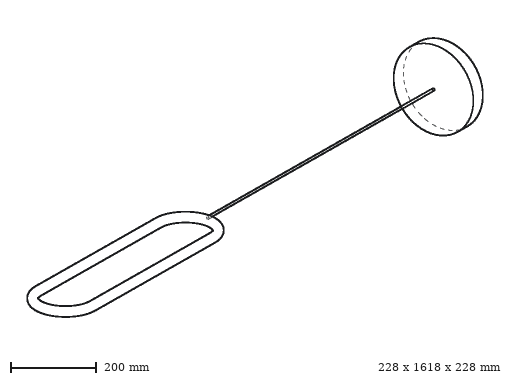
import cadquery as cq

total_length = 1618.0
plate_diameter = 228.0
plate_thickness = 39.0
cable_diameter = 6.0

tube_diameter = 26.0
ring_width = 180.0
upper_straight = 194.0
lower_straight = 291.0

bend_radius = (ring_width - tube_diameter) / 2
upper_bend_y = lower_straight + upper_straight
ring_top_y = upper_bend_y + bend_radius
ring_bottom_y = -ring_width / 2
plate_back_y = ring_bottom_y + total_length
plate_front_y = plate_back_y - plate_thickness


def rod(diameter, x, start_y, end_y):
    """Round bar parallel to Y."""
    return cq.Workplane(cq.Solid.makeCylinder(
        diameter / 2, end_y - start_y, cq.Vector(x, start_y, 0), cq.Vector(0, 1, 0)
    ))


def bend(center_y, side):
    """Half-circle tube bend bulging toward +Y (side = 1) or -Y (side = -1)."""
    path = (
        cq.Workplane("XY")
        .moveTo(-bend_radius, center_y)
        .threePointArc((0, center_y + side * bend_radius), (bend_radius, center_y))
    )
    profile = cq.Workplane("XZ", origin=(-bend_radius, center_y, 0)).circle(tube_diameter / 2)
    return profile.sweep(path)


result = rod(plate_diameter, 0, plate_front_y, plate_back_y)
cable = rod(cable_diameter, 0, ring_top_y, plate_front_y)

result = result.union(cable, clean=False)
result = result.union(bend(upper_bend_y, 1), clean=False)
for x in (-bend_radius, bend_radius):
    result = result.union(rod(tube_diameter, x, lower_straight, upper_bend_y), clean=False)
    result = result.union(rod(tube_diameter, x, 0, lower_straight), clean=False)
result = result.union(bend(0, -1), clean=False)